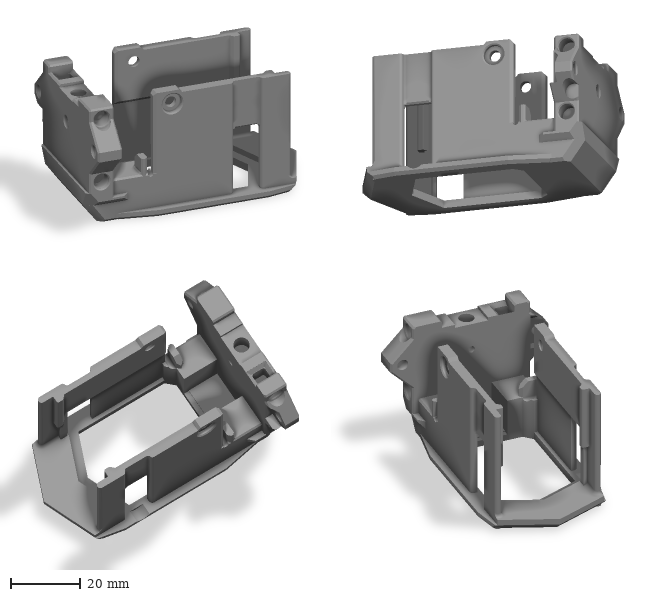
import cadquery as cq

BASE_TOP = 2.3
HOOD_TOP = 4.1
WALL_TOP = 37.7
EDGE = 0.5

WALL_OUT = 16.8
WALL_IN = 13.6
WALL_FRONT = 21.3
WALL_END = 64.1
TAIL_IN = 14.75
RIB_BOTTOM = 18.1
RECESS_X = 15.4
RECESS_FRONT = 45.3
RECESS_BACK = 55.75
RECESS_RAMP = 1.8

FLANGE_X = 19.1
FLANGE_CHAMFER = 0.95
HOOD_TIP = 72.3
HOOD_SHOULDER = 65.6
HOOD_SLOPE = (HOOD_TIP - HOOD_SHOULDER) / WALL_OUT
HOOD_UNDERCUT = 2.5
OPENING_TIP = 57.3
HOOD_INNER_TIP = 60.5

PLATE_X = 18.6
PLATE_FRONT = 0.7
PLATE_BACK = 8.3
EAR_X = 50.8 / 2
EAR_Z = 25.45
EAR_HALF_FLAT = 1.5
EAR_RISE = EAR_X - PLATE_X + EAR_HALF_FLAT
LEDGE_Z = 35.4
LEDGE_LEFT = -13.6
LEDGE_RIGHT = 9.25
MAGNET_D = 4.7
MAGNET_DEPTH = 4.35
MAGNET_Y = 4.55
EAR_HOLE_X = 21.7
PLATE_HOLE_Z = 25.9
BOLT_D = 3.4

BOW_TOP = 10.8
BOW_CREASE = 6.1
BOW_CREASE_X = 14.7
BOW_TOE = 4.4
FLARE_LOW = 7.8
FLARE_TOP = 8.45
FLARE_BACK = 13.4
FOOT_BACK = 19.7
FOOT_TOP = 13.3
CHANNEL_LEFT = -6.3
CHANNEL_RIGHT = 7.15


def box(x0, x1, y0, y1, z0, z1):
    return cq.Workplane("XY").box(x1 - x0, y1 - y0, z1 - z0, centered=False).translate((x0, y0, z0))


def mirrored(solid):
    """The solid together with its mirror image across the YZ plane."""
    return solid.union(solid.mirror("YZ"))


def half_space(origin, normal):
    """A large block filling the side of a plane that the normal points to."""
    size = 144.6
    plane = cq.Plane(origin=origin, normal=normal)
    return cq.Workplane(plane).rect(size, size).extrude(size)


def both_sides(points):
    """Closed outline from the points at x <= 0, mirrored; the ends lie on x = 0."""
    return points + [(-x, y) for x, y in reversed(points) if x != 0]


def x_cylinder(x0, length, y, z, diameter):
    return cq.Workplane("YZ", origin=(x0, 0, 0)).center(y, z).circle(diameter / 2).extrude(length)


def x_hole(x0, length, y, z, diameter, rim):
    """Cylinder along +X from x0 with a conical rim at its start."""
    radius = diameter / 2
    profile = [(0, 0), (0, radius + rim), (rim, radius), (length, radius), (length, 0)]
    return (cq.Workplane("XY").polyline(profile).close()
            .revolve(360, (0, 0), (1, 0)).translate((x0, y, z)))


def y_hole(x, z, y0, length, diameter, rim):
    """Cylinder along +Y from y0 with a conical rim at its start."""
    radius = diameter / 2
    profile = [(0, 0), (radius + rim, 0), (radius, rim), (radius, length), (0, length)]
    return (cq.Workplane("XY").polyline(profile).close()
            .revolve(360, (0, 0), (0, 1)).translate((x, y0, z)))


def make_flange():
    front = 9.6
    straight_front = 22.0
    straight_back = 56.6
    shoulder_x = 17.4
    shoulder_y = HOOD_SHOULDER - HOOD_SLOPE * (shoulder_x - WALL_OUT)
    outline = both_sides([
        (-WALL_OUT, front), (-FLANGE_X, straight_front), (-FLANGE_X, straight_back),
        (-shoulder_x, shoulder_y), (0, HOOD_TIP),
    ])
    flange = cq.Workplane("XY").polyline(outline).close().extrude(BASE_TOP)
    flange = flange.faces("<Z").chamfer(FLANGE_CHAMFER)
    for side in (-1, 1):
        normal = (side * HOOD_SLOPE * BASE_TOP, BASE_TOP, -HOOD_UNDERCUT)
        flange = flange.cut(half_space((0, HOOD_TIP, BASE_TOP), normal))
    opening = both_sides([
        (0, FOOT_BACK), (-WALL_IN, FOOT_BACK),
        (-WALL_IN, OPENING_TIP - HOOD_SLOPE * WALL_IN), (0, OPENING_TIP),
    ])
    return flange.cut(cq.Workplane("XY").polyline(opening).close().extrude(BASE_TOP))


def make_hood():
    outline = both_sides([
        (0, HOOD_INNER_TIP), (-WALL_IN, HOOD_INNER_TIP - HOOD_SLOPE * WALL_IN),
        (-WALL_IN, RECESS_BACK), (-WALL_OUT, RECESS_BACK),
        (-WALL_OUT, HOOD_SHOULDER), (0, HOOD_TIP),
    ])
    return (cq.Workplane("XY", origin=(0, 0, BASE_TOP)).polyline(outline).close()
            .extrude(HOOD_TOP - BASE_TOP))


def make_left_wall():
    """Wall with a shallow outer recess between S-shaped ramps and a thin rounded tail."""
    corner = 0.95
    bevel = 0.6
    tail_radius = (WALL_OUT - TAIL_IN) / 2
    tail_start = WALL_END - tail_radius
    step_y = 57.85
    mid_x = (WALL_OUT + RECESS_X) / 2
    half_ramp = RECESS_RAMP / 2
    recess_start = RECESS_FRONT + RECESS_RAMP
    recess_stop = RECESS_BACK - RECESS_RAMP
    return (
        cq.Workplane("XY")
        .moveTo(-WALL_OUT, WALL_FRONT + corner)
        .lineTo(-WALL_OUT, RECESS_FRONT)
        .tangentArcPoint((-mid_x, RECESS_FRONT + half_ramp), relative=False)
        .tangentArcPoint((-RECESS_X, recess_start), relative=False)
        .lineTo(-RECESS_X, recess_stop)
        .tangentArcPoint((-mid_x, recess_stop + half_ramp), relative=False)
        .tangentArcPoint((-WALL_OUT, RECESS_BACK), relative=False)
        .lineTo(-WALL_OUT, tail_start)
        .threePointArc((-WALL_OUT + tail_radius, WALL_END), (-TAIL_IN, tail_start))
        .lineTo(-TAIL_IN, step_y)
        .lineTo(-WALL_IN, step_y)
        .lineTo(-WALL_IN, WALL_FRONT + corner)
        .lineTo(-WALL_IN - bevel, WALL_FRONT)
        .lineTo(-WALL_OUT + bevel, WALL_FRONT)
        .close()
        .extrude(WALL_TOP)
    )


def make_left_rib():
    """Rounded vertical rib on the inner face of the wall."""
    peak_x = 12.4
    front, back = 56.6, 59.7
    radius = 0.6
    return (
        cq.Workplane("XY", origin=(0, 0, RIB_BOTTOM))
        .polyline([
            (-TAIL_IN - EDGE, back), (-peak_x, back), (-peak_x, front + WALL_IN - peak_x),
            (-WALL_IN, front), (-TAIL_IN - EDGE, front),
        ])
        .close()
        .extrude(WALL_TOP - RIB_BOTTOM)
        .edges("|Z and >X")
        .fillet(radius)
    )


def make_left_pad():
    """Raised pad on top of the wall, sloped at both ends."""
    top = 38.6
    slope = top - WALL_TOP
    back = 30.2
    side = [
        (WALL_FRONT, WALL_TOP), (WALL_FRONT + slope, top), (back - slope, top), (back, WALL_TOP),
    ]
    pad = (cq.Workplane("YZ", origin=(-WALL_OUT, 0, 0)).polyline(side).close()
           .extrude(WALL_OUT - WALL_IN))
    return pad.intersect(make_left_wall().translate((0, 0, slope)))


def cut_left_wall_openings(wall):
    window_top = 22.4
    window_front, window_back = 46.35, 54.75
    wall = wall.cut(box(-WALL_OUT, -WALL_IN, window_front, window_back, BASE_TOP, window_top))
    lintel_edge = [
        (-RECESS_X, window_top), (-RECESS_X + EDGE, window_top), (-RECESS_X, window_top + EDGE),
    ]
    wall = wall.cut(cq.Workplane("XZ", origin=(0, window_front, 0)).polyline(lintel_edge).close()
                    .extrude(window_front - window_back))

    hole_y, hole_z = 27.2, 34.4
    bore_d, bore_depth, bore_rim = 6.1, 1.45, 0.35
    wall = wall.cut(x_cylinder(-WALL_OUT, WALL_OUT - WALL_IN, hole_y, hole_z, BOLT_D))
    wall = wall.cut(x_hole(-WALL_OUT, bore_depth, hole_y, hole_z, bore_d, bore_rim))

    thinning = TAIL_IN - WALL_IN
    inner_step = [
        (-WALL_IN, BASE_TOP), (-TAIL_IN, BASE_TOP),
        (-TAIL_IN, window_top - thinning), (-WALL_IN, window_top),
    ]
    wall = wall.cut(cq.Workplane("XZ", origin=(0, WALL_FRONT, 0)).polyline(inner_step).close()
                    .extrude(WALL_FRONT - RECESS_BACK))
    return wall


def make_foot():
    """Block between the plate and the opening of the base."""
    foot = box(-WALL_OUT, WALL_OUT, PLATE_BACK - EDGE, FOOT_BACK, BASE_TOP, FOOT_TOP)
    return foot.edges("|Y and >Z").chamfer(EDGE)


def cut_foot_channel(body):
    """Channel along the foot, with a slightly lower lip at its back end."""
    lip_front, lip_depth = 18.1, 0.35
    body = body.cut(box(CHANNEL_LEFT, CHANNEL_RIGHT, PLATE_BACK, FOOT_BACK, BASE_TOP, FOOT_TOP))
    return body.cut(box(CHANNEL_LEFT, CHANNEL_RIGHT, lip_front, FOOT_BACK,
                        BASE_TOP - lip_depth, BASE_TOP))


def make_left_post():
    """Upright blade at the back of the foot, sloped down towards the middle."""
    inner_x, slope_x = 10.4, 12.9
    front = 17.6
    top = 18.3
    nose = 0.9
    face = [
        (-WALL_OUT, FOOT_TOP - EDGE), (-WALL_OUT, top), (-slope_x, top),
        (-inner_x, top - (slope_x - inner_x)), (-inner_x, FOOT_TOP - EDGE),
    ]
    post = (cq.Workplane("XZ", origin=(0, FOOT_BACK, 0)).polyline(face).close()
            .extrude(FOOT_BACK - front))
    plan = [
        (-WALL_OUT, front + EDGE), (-WALL_OUT + EDGE, front), (-inner_x - nose, front),
        (-inner_x, front + nose), (-inner_x, FOOT_BACK - nose), (-inner_x - nose, FOOT_BACK),
        (-WALL_OUT + nose, FOOT_BACK), (-WALL_OUT, FOOT_BACK - nose),
    ]
    post = post.intersect(cq.Workplane("XY").polyline(plan).close().extrude(top))
    base_run = 0.4
    skirt = [(front, FOOT_TOP), (front, FOOT_TOP + base_run), (front - base_run, FOOT_TOP)]
    return post.union(cq.Workplane("YZ", origin=(-WALL_OUT + EDGE, 0, 0)).polyline(skirt).close()
                      .extrude(WALL_OUT - EDGE - inner_x - nose))


def make_left_gusset():
    """Web joining the foot to the wall below the rounded slot between wall and post."""
    gusset_inner = 11.1
    back = 22.3
    slot_radius = (WALL_FRONT - FOOT_BACK) / 2
    slot_y = FOOT_BACK + slot_radius
    slot_bottom = 12.2
    plan = [
        (-WALL_OUT, FOOT_BACK), (-gusset_inner, FOOT_BACK), (-WALL_IN, back), (-WALL_OUT, back),
    ]
    web = cq.Workplane("XY").polyline(plan).close().extrude(slot_bottom + slot_radius)
    slot = box(-WALL_OUT, -gusset_inner, FOOT_BACK, back, slot_bottom + slot_radius, FOOT_TOP)
    slot = slot.union(x_cylinder(-WALL_OUT, WALL_OUT - gusset_inner, slot_y,
                                 slot_bottom + slot_radius, 2 * slot_radius))
    return web.cut(slot)


def cut_front_corners(body, face_point, side_point):
    """Bevel both front corners.

    Each bevel plane holds the end of the bow crease, one more point on the front edge
    and one point on the side of the part.
    """
    crease = cq.Vector(BOW_CREASE_X, 0, BOW_CREASE)
    along_face = cq.Vector(*face_point) - crease
    along_side = cq.Vector(*side_point) - crease
    normal = along_face.cross(along_side)
    if normal.x < 0:
        normal = -normal
    for side in (-1, 1):
        body = body.cut(half_space((side * crease.x, 0, crease.z),
                                   (side * normal.x, normal.y, normal.z)))
    return body


def make_front():
    """Front plate and the upper part of the bow, with flares below it."""
    flare_run = PLATE_X - WALL_OUT
    bow = box(-PLATE_X, PLATE_X, 0, PLATE_BACK - EDGE, BOW_CREASE, BOW_TOP)
    flare = box(-PLATE_X, PLATE_X, 0, FLARE_BACK, BOW_CREASE, FLARE_TOP)
    flare = flare.edges("|Z and >Y").chamfer(flare_run)
    undercut = [
        (-PLATE_X, BOW_CREASE), (-WALL_OUT, BOW_CREASE), (-PLATE_X, FLARE_LOW),
    ]
    cutter = cq.Workplane("XZ").polyline(undercut).close().extrude(-FLARE_BACK)
    body = bow.union(flare).cut(mirrored(cutter))
    top_half_width = 17.6
    bevel_end_y = 3.55
    return cut_front_corners(body.union(make_plate()), (top_half_width, 0, BOW_TOP),
                             (PLATE_X, bevel_end_y, FLARE_LOW))


def make_lower_bow():
    """Lower part of the bow with a sloped underside and bevelled corners."""
    side = [
        (BOW_TOE, 0), (0, BOW_CREASE), (FLARE_BACK, BOW_CREASE), (FLARE_BACK, 0),
    ]
    bow = (cq.Workplane("YZ", origin=(-WALL_OUT, 0, 0)).polyline(side).close()
           .extrude(2 * WALL_OUT))
    bow = bow.edges("|Y and <Z").chamfer(FLANGE_CHAMFER)
    bevel_end_y = 2.5
    return cut_front_corners(bow, (BOW_CREASE_X, BOW_TOE, 0), (WALL_OUT, bevel_end_y, BOW_CREASE))


def make_plate():
    """Front plate with an ear on each side and a stepped top edge."""
    ear = [
        (PLATE_X, EAR_Z + EAR_RISE), (EAR_X, EAR_Z + EAR_HALF_FLAT),
        (EAR_X, EAR_Z - EAR_HALF_FLAT), (PLATE_X, EAR_Z - EAR_RISE),
    ]
    outline = [(LEDGE_RIGHT, LEDGE_Z), (LEDGE_RIGHT, WALL_TOP), (PLATE_X, WALL_TOP)]
    outline += ear
    outline += [(PLATE_X, FLARE_LOW), (-PLATE_X, FLARE_LOW)]
    outline += [(-x, z) for x, z in reversed(ear)]
    outline += [(-PLATE_X, WALL_TOP), (LEDGE_LEFT, WALL_TOP), (LEDGE_LEFT, LEDGE_Z)]
    plate = (cq.Workplane("XZ", origin=(0, PLATE_FRONT, 0)).polyline(outline).close()
             .extrude(PLATE_FRONT - PLATE_BACK))
    plate = plate.edges("|Y and >Z").chamfer(EDGE)
    plate = plate.faces("<Y").chamfer(EDGE)
    back_sides = plate.faces(">Y").edges().filter(lambda edge: abs(edge.Center().x) >= PLATE_X - EDGE)
    return back_sides.chamfer(EDGE)


def cut_plate_openings(body):
    step_x, step_z = 5.2, 34.4
    body = body.cut(box(-step_x, step_x, 0, PLATE_BACK, step_z, WALL_TOP))

    pocket_right, pocket_front, pocket_bottom = -8.2, 1.6, 28.9
    pocket_radius = 0.7
    rim_run, rim_depth = 1.15, 1.1
    mouth = box(LEDGE_LEFT, pocket_right, pocket_front, PLATE_BACK, LEDGE_Z - rim_run, LEDGE_Z)
    pocket_core = box(LEDGE_LEFT, pocket_right - rim_run, pocket_front + rim_run,
                      PLATE_BACK - rim_run, pocket_bottom, LEDGE_Z)
    body = body.cut(pocket_core.edges("|Z").fillet(pocket_radius))
    body = body.cut(mouth.faces("<Z").edges("not <X").chamfer(rim_depth))

    top_hole_depth = 5.8
    top_hole = (cq.Workplane("XY", origin=(0, MAGNET_Y, step_z)).circle(MAGNET_D / 2)
                .extrude(-top_hole_depth))
    body = body.cut(top_hole)

    thickness = PLATE_BACK - PLATE_FRONT
    rim, screw_d, countersink = 0.4, 2.1, 1.0
    for x in (-EAR_HOLE_X, EAR_HOLE_X):
        body = body.cut(y_hole(x, PLATE_HOLE_Z, PLATE_FRONT, thickness, BOLT_D, rim))
    body = body.cut(y_hole(0, PLATE_HOLE_Z, PLATE_FRONT, thickness, screw_d, countersink))

    upper_z, lower_z = 34.2, 14.2
    side_rim = 0.35
    for z in (upper_z, lower_z):
        hole = x_hole(-PLATE_X, MAGNET_DEPTH, MAGNET_Y, z, MAGNET_D, side_rim)
        clearance = x_cylinder(-EAR_X, EAR_X - PLATE_X, MAGNET_Y, z, MAGNET_D + 2 * side_rim)
        body = body.cut(mirrored(hole.union(clearance)))

    relief_y, relief_z = 2.25, 19.95
    body = body.cut(x_cylinder(-EAR_X, EAR_X - PLATE_X, relief_y, relief_z, MAGNET_D))

    relief_front, relief_low, relief_high = 5.8, 21.7, 30.2
    depth = PLATE_BACK - relief_front
    side = [
        (relief_front, relief_low), (relief_front, relief_high),
        (PLATE_BACK, relief_high + depth), (PLATE_BACK, relief_low),
    ]
    relief = (cq.Workplane("YZ", origin=(-EAR_X, 0, 0)).polyline(side).close()
              .extrude(EAR_X - PLATE_X))
    return body.cut(relief)


def cut_flange_notch(body):
    """Round notch across the left flange below the window."""
    notch_d, notch_y, notch_depth = 6.0, 50.5, 0.95
    notch_z = BASE_TOP - notch_depth + notch_d / 2
    return body.cut(x_cylinder(-FLANGE_X, FLANGE_X - RECESS_X, notch_y, notch_z, notch_d))


def blend_wall_tails(body):
    """Fillet between the rounded wall ends and the top of the hood."""
    fillet_radius = 1.0
    margin = 0.1
    tail_ends = cq.selectors.BoxSelector(
        (-WALL_OUT - margin, WALL_END - fillet_radius, HOOD_TOP - margin),
        (WALL_OUT + margin, WALL_END + margin, HOOD_TOP + margin),
    )
    return body.edges(tail_ends).fillet(fillet_radius)


left_wall = cut_left_wall_openings(make_left_wall().union(make_left_pad()))
left_side = left_wall.union(make_left_rib()).union(make_left_post()).union(make_left_gusset())
base = blend_wall_tails(make_flange().union(make_hood()).union(mirrored(left_side)))
base = cut_flange_notch(base)
front = make_front().union(make_lower_bow()).union(make_foot())
result = cut_foot_channel(base.union(cut_plate_openings(front)))